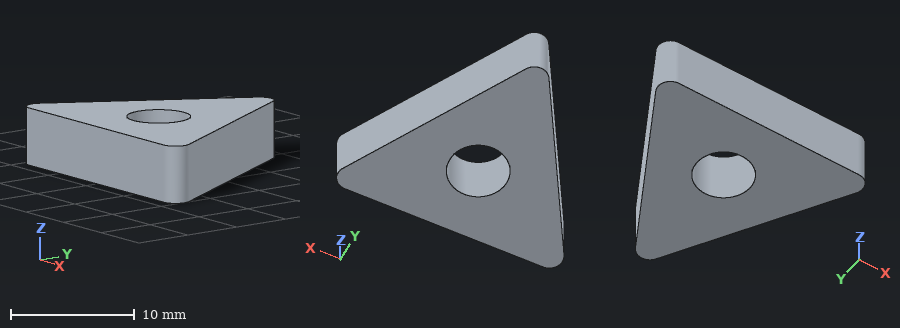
import cadquery as cq
import math

overall_width = 20.25
thickness = 4.75
corner_radius = 1.2
hole_diameter = 5.16

center_spacing = overall_width - 2 * corner_radius
inscribed_radius = center_spacing / (2 * math.sqrt(3)) + corner_radius

sharp_corner_distance = 2 * inscribed_radius
corner_angles = [math.radians(angle) for angle in (90, 210, 330)]
corners = [
    (sharp_corner_distance * math.cos(angle), sharp_corner_distance * math.sin(angle))
    for angle in corner_angles
]

plate = cq.Workplane("XY").polyline(corners).close().extrude(thickness)
plate = plate.edges("|Z").fillet(corner_radius)

result = plate.faces(">Z").workplane(origin=(0, 0, thickness)).hole(hole_diameter)